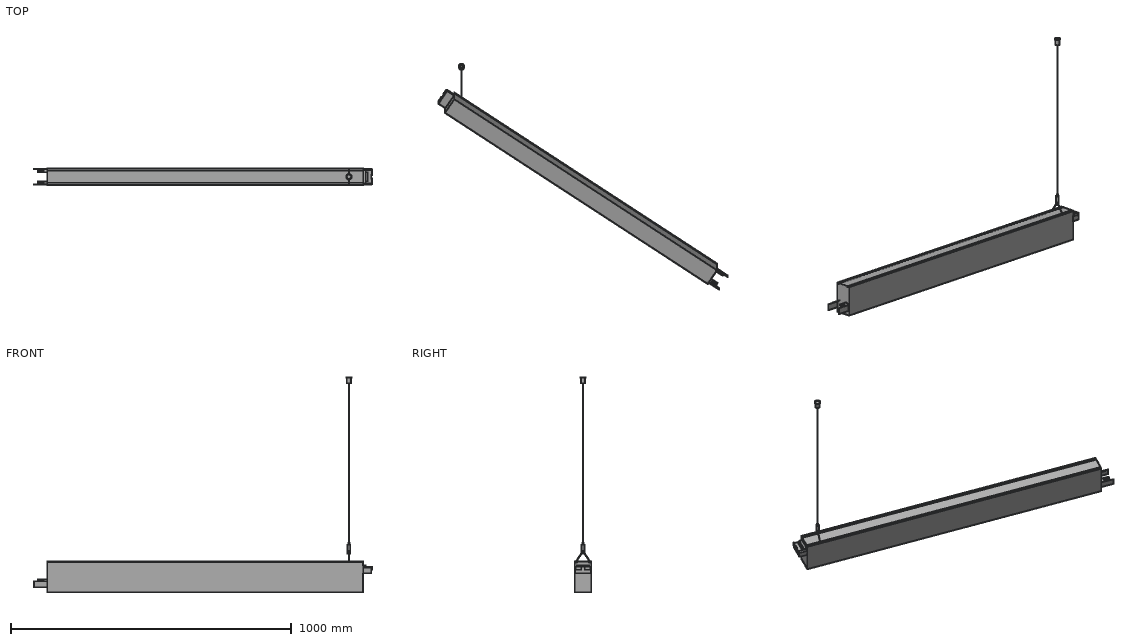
import cadquery as cq

TOTAL_LENGTH = 1204.6
TOTAL_HEIGHT = 766.34

HOUSING_LENGTH = 1125.0
HOUSING_WIDTH = 60.0
HOUSING_HEIGHT = 110.0
GROOVE_INNER_Y = 22.0
GROOVE_OUTER_Y = 28.0
GROOVE_DEPTH = 3.5

HOUSING_START = -HOUSING_LENGTH / 2
HOUSING_END = HOUSING_LENGTH / 2

TONGUE_LENGTH = 47.6
TONGUE_THICKNESS = 1.0
TONGUE_OUTER_Y = 28.0
TONGUE_BOTTOM = 17.5
TONGUE_TOP = 40.0
LIP_LENGTH = 33.0
LIP_REACH = 12.0
LIP_RISE = 7.5
LIP_HOLE_DIAMETER = 5.0
LIP_HOLE_DISTANCES = (16.0, 23.0)

CONNECTOR_LENGTH = TOTAL_LENGTH - HOUSING_LENGTH - TONGUE_LENGTH
CONNECTOR_WIDTH = 56.0
CONNECTOR_BOTTOM = 68.0
CONNECTOR_TOP = 92.0
CONNECTOR_CHAMFER = 5.0
CATCH_LENGTH = 2.5
CATCH_BOTTOM = 80.0
CATCH_INNER_Y = 6.0
CATCH_OUTER_Y = 26.0
STEP_LENGTH = 10.0
STEP_HEIGHT = 4.0
RECESS_END = 16.0
RECESS_WIDTH = 32.0
RECESS_DEPTH = 2.0

CABLE_X = HOUSING_END - 50.7
CABLE_DIAMETER = 1.5
ANCHOR_FLANGE_DIAMETER = 20.0
ANCHOR_FLANGE_HEIGHT = 2.0
ANCHOR_BODY_DIAMETER = 16.0
ANCHOR_HEIGHT = 22.0
GRIPPER_BOTTOM = 138.0
GRIPPER_DIAMETER = 11.0
GRIPPER_HEIGHT = 32.0
GRIPPER_HOLE_DIAMETER = 5.0
GRIPPER_HOLE_RISE = 7.0
NOZZLE_DIAMETER = 5.0
NOZZLE_HEIGHT = 7.0
WIRE_TOP_Y = 4.8
WIRE_OVERLAP = 1.5


def box(x_range, y_range, z_range):
    size = [high - low for low, high in (x_range, y_range, z_range)]
    return cq.Workplane("XY").box(*size, centered=False).translate((x_range[0], y_range[0], z_range[0]))


def upright_cylinder(diameter, bottom, top):
    return (
        cq.Workplane("XY", origin=(CABLE_X, 0, bottom))
        .circle(diameter / 2)
        .extrude(top - bottom)
    )


def make_housing():
    body = box(
        (HOUSING_START, HOUSING_END),
        (-HOUSING_WIDTH / 2, HOUSING_WIDTH / 2),
        (0, HOUSING_HEIGHT),
    )
    groove = box(
        (HOUSING_START, HOUSING_END),
        (GROOVE_INNER_Y, GROOVE_OUTER_Y),
        (HOUSING_HEIGHT - GROOVE_DEPTH, HOUSING_HEIGHT),
    )
    return body.cut(groove).cut(groove.mirror("XZ"))


def make_tongue():
    """Vertical plate with a lip that slopes inwards and upwards, on the +Y side."""
    inner_y = TONGUE_OUTER_Y - TONGUE_THICKNESS
    plate = box(
        (HOUSING_START - TONGUE_LENGTH, HOUSING_START),
        (inner_y, TONGUE_OUTER_Y),
        (TONGUE_BOTTOM, TONGUE_TOP),
    )
    lip_tip_y = TONGUE_OUTER_Y - LIP_REACH
    lip_tip_z = TONGUE_TOP + LIP_RISE
    lip = (
        cq.Workplane("YZ", origin=(HOUSING_START - LIP_LENGTH, 0, 0))
        .moveTo(TONGUE_OUTER_Y, TONGUE_TOP)
        .lineTo(lip_tip_y, lip_tip_z)
        .lineTo(lip_tip_y, lip_tip_z - TONGUE_THICKNESS)
        .lineTo(TONGUE_OUTER_Y, TONGUE_TOP - TONGUE_THICKNESS)
        .close()
        .extrude(LIP_LENGTH)
    )
    lip_middle_y = TONGUE_OUTER_Y - LIP_REACH / 2
    holes = (
        cq.Workplane("XY", origin=(HOUSING_START, lip_middle_y, TONGUE_BOTTOM))
        .pushPoints([(-distance, 0) for distance in LIP_HOLE_DISTANCES])
        .circle(LIP_HOLE_DIAMETER / 2)
        .extrude(lip_tip_z - TONGUE_BOTTOM)
    )
    return plate.union(lip.cut(holes))


def make_connector():
    """Block with sloping long edges, a step and recess on top, and two catches at the tip."""
    half_width = CONNECTOR_WIDTH / 2
    tip_x = HOUSING_END + CONNECTOR_LENGTH
    block_end = tip_x - CATCH_LENGTH
    block = box(
        (HOUSING_END, block_end),
        (-half_width, half_width),
        (CONNECTOR_BOTTOM, CONNECTOR_TOP),
    )
    block = block.edges("|X and >Z").chamfer(CONNECTOR_CHAMFER)
    flat_half_width = half_width - CONNECTOR_CHAMFER
    step = box(
        (HOUSING_END, HOUSING_END + STEP_LENGTH),
        (-flat_half_width, flat_half_width),
        (CONNECTOR_TOP, CONNECTOR_TOP + STEP_HEIGHT),
    )
    recess = box(
        (HOUSING_END + STEP_LENGTH, HOUSING_END + RECESS_END),
        (-RECESS_WIDTH / 2, RECESS_WIDTH / 2),
        (CONNECTOR_TOP - RECESS_DEPTH, CONNECTOR_TOP),
    )
    catch = box(
        (block_end, tip_x),
        (CATCH_INNER_Y, CATCH_OUTER_Y),
        (CATCH_BOTTOM, CONNECTOR_TOP),
    )
    return block.union(step).cut(recess).union(catch).union(catch.mirror("XZ"))


def make_anchor_and_cable():
    flange_bottom = TOTAL_HEIGHT - ANCHOR_FLANGE_HEIGHT
    anchor_bottom = TOTAL_HEIGHT - ANCHOR_HEIGHT
    gripper_top = GRIPPER_BOTTOM + GRIPPER_HEIGHT
    flange = upright_cylinder(ANCHOR_FLANGE_DIAMETER, flange_bottom, TOTAL_HEIGHT)
    body = upright_cylinder(ANCHOR_BODY_DIAMETER, anchor_bottom, flange_bottom)
    cable = upright_cylinder(CABLE_DIAMETER, gripper_top, anchor_bottom)
    nozzle = upright_cylinder(NOZZLE_DIAMETER, gripper_top, gripper_top + NOZZLE_HEIGHT)
    gripper = upright_cylinder(GRIPPER_DIAMETER, GRIPPER_BOTTOM, gripper_top)
    cross_hole = (
        cq.Workplane("XZ", origin=(CABLE_X, 0, GRIPPER_BOTTOM + GRIPPER_HOLE_RISE))
        .circle(GRIPPER_HOLE_DIAMETER / 2)
        .extrude(GRIPPER_DIAMETER, both=True)
    )
    gripper = gripper.cut(cross_hole)
    return flange.union(body).union(cable).union(nozzle).union(gripper)


def make_suspension_wire():
    """Sloping wire from the gripper to the groove on the +Y side."""
    start = cq.Vector(CABLE_X, WIRE_TOP_Y, GRIPPER_BOTTOM + WIRE_OVERLAP)
    end = cq.Vector(CABLE_X, GROOVE_OUTER_Y, HOUSING_HEIGHT - GROOVE_DEPTH - WIRE_OVERLAP)
    run = end - start
    return cq.Workplane(cq.Solid.makeCylinder(CABLE_DIAMETER / 2, run.Length, start, run))


result = make_housing().union(make_connector()).union(make_anchor_and_cable())
for side_part in (make_tongue(), make_suspension_wire()):
    result = result.union(side_part).union(side_part.mirror("XZ"))